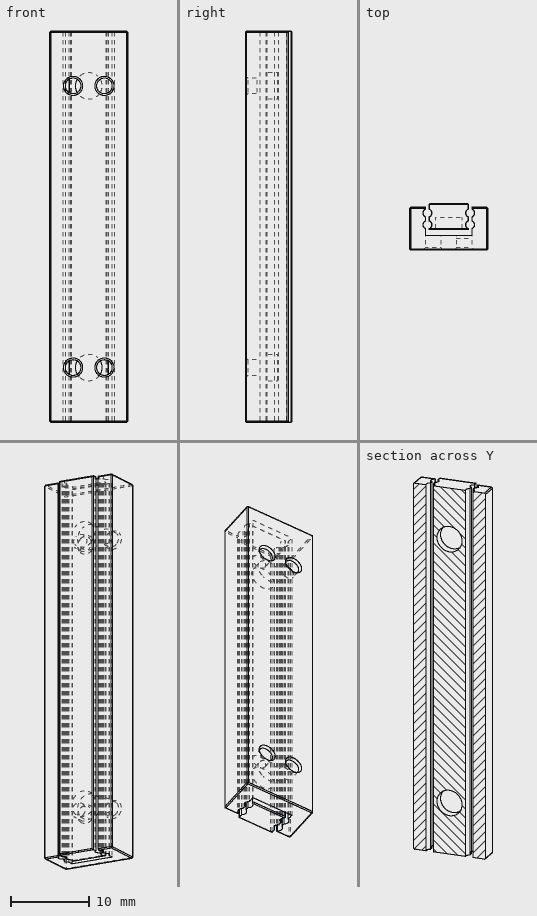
import cadquery as cq

LENGTH = 50.0
HOUSING_WIDTH = 10.0
TOTAL_HEIGHT = 6.0
EDGE_CHAMFER = 0.15

RIM_DROP = 0.5
WEB_THICKNESS = 1.9
CHANNEL_WIDTH = 5.9

CARRIAGE_WIDTH = 5.0
CARRIAGE_CHAMFER = 0.15
FLOOR_GAP = 0.75

TRACK_DIAMETER = 1.1
TRACK_PITCH = 1.5
FIRST_TRACK_DEPTH = 1.25

HOLE_DIAMETER = 2.0
MOUTH_DIAMETER = 2.45
MOUTH_DEPTH = 0.35
HOLE_SPACING_X = 4.0
HOLE_SPACING_Z = 36.0
BLIND_HOLE_DEPTH = 1.5
CARRIAGE_POCKET_DIAMETER = 3.4
CARRIAGE_POCKET_DEPTH = 1.5

BASE_Y = -TOTAL_HEIGHT / 2
TOP_Y = TOTAL_HEIGHT / 2
RIM_Y = TOP_Y - RIM_DROP
FLOOR_Y = BASE_Y + WEB_THICKNESS
CARRIAGE_BASE_Y = FLOOR_Y + FLOOR_GAP
TRACK_X = (CHANNEL_WIDTH + CARRIAGE_WIDTH) / 4
UPPER_TRACK_Y = TOP_Y - FIRST_TRACK_DEPTH
TRACK_POINTS = [
    (side * TRACK_X, UPPER_TRACK_Y - row * TRACK_PITCH)
    for side in (-1, 1)
    for row in (0, 1)
]


def bar(width, y_low, y_high):
    """Full-length bar, centred in X and Z, between two Y levels."""
    height = y_high - y_low
    return cq.Workplane("XY").box(width, height, LENGTH).translate((0, (y_low + y_high) / 2, 0))


def cylinder_along_y(diameter, depth, x, y_start, z):
    """Cylinder that starts at y_start and runs toward +Y."""
    solid = cq.Solid.makeCylinder(diameter / 2, depth, cq.Vector(x, y_start, z), cq.Vector(0, 1, 0))
    return cq.Workplane(obj=solid)


def ball_tracks():
    """Four full-length rods that leave the ball tracks when cut away."""
    return (
        cq.Workplane("XY", origin=(0, 0, -LENGTH / 2))
        .pushPoints(TRACK_POINTS)
        .circle(TRACK_DIAMETER / 2)
        .extrude(LENGTH)
    )


def mounting_hole(x, z, depth):
    """Drill for a housing hole, with a chamfered mouth on the base face."""
    drill = cylinder_along_y(HOLE_DIAMETER, depth, x, BASE_Y, z)
    mouth = cq.Solid.makeCone(
        MOUTH_DIAMETER / 2,
        HOLE_DIAMETER / 2,
        MOUTH_DEPTH,
        cq.Vector(x, BASE_Y, z),
        cq.Vector(0, 1, 0),
    )
    return drill.union(cq.Workplane(obj=mouth))


def make_housing():
    body = bar(HOUSING_WIDTH, BASE_Y, RIM_Y).edges().chamfer(EDGE_CHAMFER)
    body = body.cut(bar(CHANNEL_WIDTH, FLOOR_Y, TOP_Y))
    body = body.cut(ball_tracks())
    for x_side in (-1, 1):
        for z_side in (-1, 1):
            is_blind = x_side > 0 and z_side > 0
            depth = BLIND_HOLE_DEPTH if is_blind else WEB_THICKNESS
            x = x_side * HOLE_SPACING_X / 2
            z = z_side * HOLE_SPACING_Z / 2
            body = body.cut(mounting_hole(x, z, depth))
    return body


def make_carriage():
    body = bar(CARRIAGE_WIDTH, CARRIAGE_BASE_Y, TOP_Y).edges("|X or >Y").chamfer(CARRIAGE_CHAMFER)
    body = body.cut(ball_tracks())
    for z_side in (-1, 1):
        z = z_side * HOLE_SPACING_Z / 2
        pocket = cylinder_along_y(CARRIAGE_POCKET_DIAMETER, CARRIAGE_POCKET_DEPTH, 0, CARRIAGE_BASE_Y, z)
        body = body.cut(pocket)
    return body


housing = make_housing()
carriage = make_carriage()

result = cq.Compound.makeCompound([housing.val(), carriage.val()])